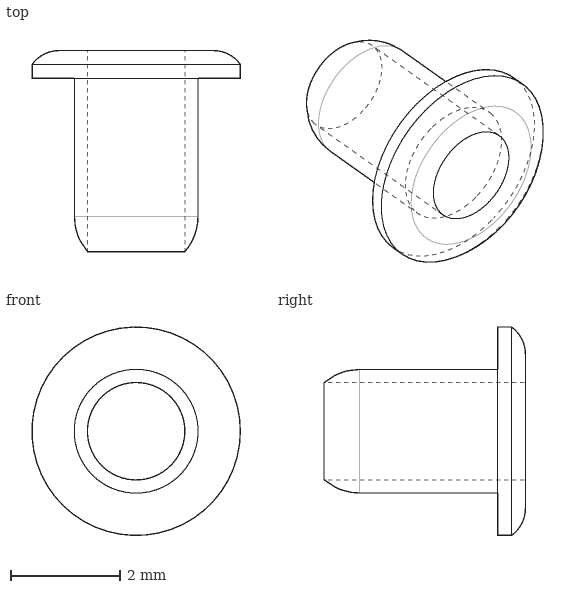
import cadquery as cq
import math

flange_radius = 1.905
total_length = 3.68
flange_thickness = 0.51
rim_height = 0.255
barrel_radius = 1.13
bore_radius = 0.888
nose_length = 0.65
crown_arc_radius = 0.605

crown_y = total_length / 2
nose_y = -crown_y
nose_start_y = nose_y + nose_length
flange_y = crown_y - flange_thickness
rim_y = flange_y + rim_height


def tangent_arc_middle(center, radius, start_angle, sweep):
    """Point halfway along an arc, angles in radians."""
    angle = start_angle + sweep / 2
    return (center[0] + radius * math.cos(angle), center[1] + radius * math.sin(angle))


nose_drop = barrel_radius - bore_radius
nose_arc_radius = (nose_length**2 + nose_drop**2) / (2 * nose_drop)
nose_center = (barrel_radius - nose_arc_radius, nose_start_y)
nose_sweep = math.asin(nose_length / nose_arc_radius)
nose_middle = tangent_arc_middle(nose_center, nose_arc_radius, 0, -nose_sweep)

crown_drop = crown_y - rim_y
crown_sweep = math.acos(1 - crown_drop / crown_arc_radius)
crown_flat_radius = flange_radius - crown_arc_radius * math.sin(crown_sweep)
crown_center = (crown_flat_radius, crown_y - crown_arc_radius)
crown_middle = tangent_arc_middle(crown_center, crown_arc_radius, math.pi / 2, -crown_sweep)

half_section = (
    cq.Workplane("XY")
    .moveTo(bore_radius, nose_y)
    .threePointArc(nose_middle, (barrel_radius, nose_start_y))
    .lineTo(barrel_radius, flange_y)
    .lineTo(flange_radius, flange_y)
    .lineTo(flange_radius, rim_y)
    .threePointArc(crown_middle, (crown_flat_radius, crown_y))
    .lineTo(bore_radius, crown_y)
    .close()
)
result = half_section.revolve(360, (0, 0, 0), (0, 1, 0))